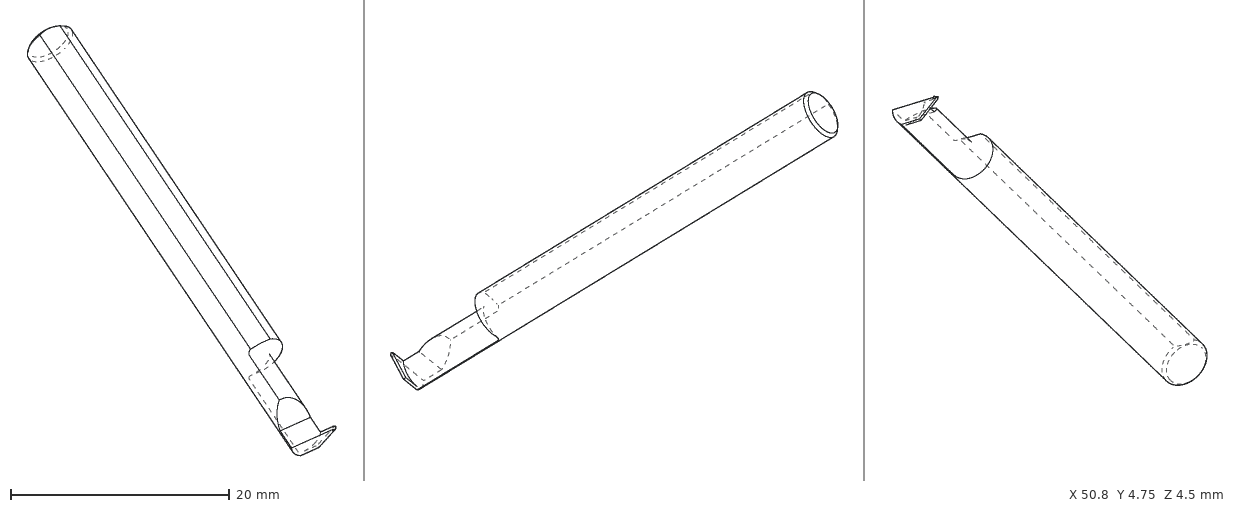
import cadquery as cq
import math

overall_length = 50.8
shank_diameter = 4.75
shank_radius = shank_diameter / 2
overall_height = 4.5
flat_height = overall_height - shank_radius
shank_length = 40.3
rear_chamfer = 0.3

neck_radius = 1.9
neck_side = 0.8
neck_axis_y = neck_side - neck_radius
shoulder_fillet = 0.6

tip_overhang = 0.15
body_length = overall_length - tip_overhang
rake_height = 0.0
rake_length = 2.18
runout_angle = 45

tooth_width = 0.3
tooth_peak_setback = 0.15
tooth_relief_angle = 45
tooth_tip_drop = tip_overhang + tooth_peak_setback
tooth_root_y = neck_axis_y

clearance = 1.0


def make_shank():
    """Full-length round bar, chamfered at the rear and flattened on top."""
    bar = cq.Workplane("YZ").circle(shank_radius).extrude(body_length)
    bar = bar.faces("<X").chamfer(rear_chamfer)
    flat_cut = (
        cq.Workplane("XY", origin=(0, 0, flat_height))
        .rect(2 * overall_length, 2 * shank_diameter)
        .extrude(shank_radius)
    )
    return bar.cut(flat_cut)


def make_neck_cutter():
    """Material around the neck, rounded where it meets the shank shoulder."""
    reach = shank_radius + clearance
    cutter = (
        cq.Workplane("YZ", origin=(shank_length, 0, 0))
        .moveTo(-reach, neck_radius)
        .lineTo(neck_axis_y, neck_radius)
        .threePointArc((neck_side, 0), (neck_axis_y, -neck_radius))
        .lineTo(-reach, -neck_radius)
        .lineTo(-reach, -reach)
        .lineTo(reach, -reach)
        .lineTo(reach, reach)
        .lineTo(-reach, reach)
        .close()
        .extrude(body_length - shank_length + clearance)
    )
    neck_outline = cq.selectors.BoxSelector(
        (shank_length - shoulder_fillet, -reach - clearance, -neck_radius - shoulder_fillet),
        (shank_length + shoulder_fillet, neck_side + shoulder_fillet, neck_radius + shoulder_fillet),
    )
    return cutter.edges(neck_outline).edges("<X").fillet(shoulder_fillet)


def make_rake_cutter():
    """Material above the rake face and its sloping run-out."""
    rake_start = body_length - rake_length
    top = shank_radius + clearance
    runout = (top - rake_height) / math.tan(math.radians(runout_angle))
    end = overall_length + clearance
    return (
        cq.Workplane("XZ")
        .moveTo(rake_start, rake_height)
        .lineTo(end, rake_height)
        .lineTo(end, top)
        .lineTo(rake_start - runout, top)
        .close()
        .extrude(shank_diameter, both=True)
    )


def make_tooth():
    """Blade below the rake face, relieved under its peak and under its end point."""
    peak_x = body_length - tooth_peak_setback
    back_x = body_length - tooth_width
    back_drop = peak_x - back_x
    bottom = rake_height - neck_radius
    blade = (
        cq.Workplane("XY", origin=(0, 0, bottom))
        .moveTo(back_x, tooth_root_y)
        .lineTo(back_x, shank_radius - back_drop)
        .lineTo(peak_x, shank_radius)
        .lineTo(overall_length, shank_radius - tooth_tip_drop)
        .lineTo(body_length, shank_radius - tooth_tip_drop - tip_overhang)
        .lineTo(body_length, tooth_root_y)
        .close()
        .extrude(neck_radius)
    )
    relief_run = neck_radius * math.tan(math.radians(tooth_relief_angle))
    peak_relief = (
        cq.Workplane("YZ")
        .moveTo(tooth_root_y, rake_height)
        .lineTo(shank_radius, rake_height)
        .lineTo(shank_radius - relief_run, bottom)
        .lineTo(tooth_root_y, bottom)
        .close()
        .extrude(overall_length)
    )
    end_relief = (
        cq.Workplane("XZ")
        .moveTo(back_x, rake_height)
        .lineTo(overall_length, rake_height)
        .lineTo(body_length, rake_height - tip_overhang)
        .lineTo(body_length, bottom)
        .lineTo(back_x, bottom)
        .close()
        .extrude(shank_diameter, both=True)
    )
    return blade.intersect(peak_relief).intersect(end_relief)


bar = make_shank().cut(make_neck_cutter()).cut(make_rake_cutter())
result = bar.union(make_tooth())